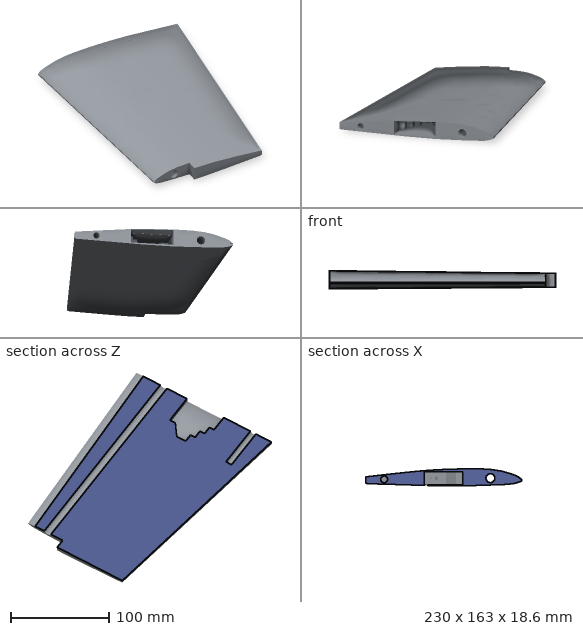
import cadquery as cq

SPAN = 230.0
ROOT_CHORD = 163.0
TIP_NOSE_Y = 10.1
TIP_TAIL_Y = 129.7
CHORD_TAPER = (TIP_TAIL_Y - TIP_NOSE_Y) / ROOT_CHORD
THICKNESS_TAPER = 0.78
TAPER_HEIGHT = 7.0
CLEAR_HEIGHT = 23.0

UPPER_CURVE = [(0, 7.0), (4.0, 10.1), (10.5, 12.9), (19.8, 15.6), (31.0, 17.5), (58.0, 18.5),
               (105.5, 16.0), (136.8, 12.9), (ROOT_CHORD, 10.0)]
LOWER_CURVE = [(ROOT_CHORD, 3.0), (161.2, 2.3), (122.5, 1.2), (71.3, 0), (49.2, 0.2),
               (19.8, 1.4), (4.0, 3.5), (0, 5.0)]

NOTCH_START_X = 219.6
NOTCH_REAR_Y = 50.8

SPAR_HOLE_DIAMETER = 8.5
SPAR_HOLE_CENTER = (33.0, 8.3)
PIN_HOLE_DIAMETER = 6.5
PIN_HOLE_CENTER = (140.8, 7.1)
PIN_HOLE_DEPTH = 46.0

POCKET_FRONT_Y = 61.2
POCKET_REAR_Y = 105.0
POCKET_FLOOR_Z = 1.8
POCKET_CEILING_Z = 14.5
SLOPE_FRONT_Y = 67.6
SLOPE_REAR_Y = 78.2
STEP_YS = (88.5, 94.0, 99.5)
POCKET_FRONT_DEPTH = 32.2
POCKET_DEEP_DEPTH = 46.0
STEP_DEPTH = 9.2

PATCH_DEPTH = 8.0
PATCH_FRONT_Z = 17.7
PATCH_REAR_Z = 15.6
RAMP_END_HEIGHT = 0.12

SLIT_DEPTH = 8.0
SLIT_HEIGHT = 0.2
SLIT_Z = 6.5


def section(x, nose_y=0.0, chord_scale=1.0, thickness_scale=1.0):
    """Closed airfoil wire on the plane at the given span position."""
    def place(points):
        return [cq.Vector(x, nose_y + y * chord_scale,
                          TAPER_HEIGHT + (z - TAPER_HEIGHT) * thickness_scale)
                for y, z in points]

    upper = place(UPPER_CURVE)
    lower = place(LOWER_CURVE)
    edges = [
        cq.Edge.makeSpline(upper),
        cq.Edge.makeLine(upper[-1], lower[0]),
        cq.Edge.makeLine(lower[0], lower[1]),
        cq.Edge.makeSpline(lower[1:]),
        cq.Edge.makeLine(lower[-1], upper[0]),
    ]
    return cq.Wire.assembleEdges(edges)


def box(x_range, y_range, z_range):
    """Box between the given limits."""
    lengths = [r[1] - r[0] for r in (x_range, y_range, z_range)]
    corner = (x_range[0], y_range[0], z_range[0])
    return cq.Workplane("XY").box(*lengths, centered=False).translate(corner)


def root_hole(center, diameter, depth):
    """Spanwise cylinder starting at the root face."""
    return cq.Workplane("YZ").center(*center).circle(diameter / 2).extrude(depth)


def pocket():
    """Flat-floored pocket with a sloping front wall and rear steps."""
    outline = [
        (0, POCKET_FRONT_Y),
        (POCKET_FRONT_DEPTH, POCKET_FRONT_Y),
        (POCKET_FRONT_DEPTH, SLOPE_FRONT_Y),
        (POCKET_DEEP_DEPTH, SLOPE_REAR_Y),
    ]
    depth = POCKET_DEEP_DEPTH
    for y in STEP_YS:
        outline.append((depth, y))
        depth -= STEP_DEPTH
        outline.append((depth, y))
    outline += [(depth, POCKET_REAR_Y), (0, POCKET_REAR_Y)]
    height = POCKET_CEILING_Z - POCKET_FLOOR_Z
    return cq.Workplane("XY", origin=(0, 0, POCKET_FLOOR_Z)).polyline(outline).close().extrude(height)


def ceiling_ramp():
    """Wedge above the pocket mouth, tall at the root face and vanishing inward."""
    def end_wire(x, front_z, rear_z):
        corners = [(POCKET_FRONT_Y, POCKET_CEILING_Z), (POCKET_REAR_Y, POCKET_CEILING_Z),
                   (POCKET_REAR_Y, rear_z), (POCKET_FRONT_Y, front_z)]
        return cq.Wire.makePolygon([cq.Vector(x, y, z) for y, z in corners], close=True)

    inner_z = POCKET_CEILING_Z + RAMP_END_HEIGHT
    mouth = end_wire(0, PATCH_FRONT_Z, PATCH_REAR_Z)
    inner = end_wire(PATCH_DEPTH, inner_z, inner_z)
    return cq.Workplane(obj=cq.Solid.makeLoft([mouth, inner], True))


def roof_patch():
    """Untapered piece of the root section, slightly proud of the tapering skin."""
    profile = cq.Solid.extrudeLinear(section(0), [], cq.Vector(PATCH_DEPTH, 0, 0))
    limits = box((0, PATCH_DEPTH), (POCKET_FRONT_Y, POCKET_REAR_Y), (POCKET_CEILING_Z, CLEAR_HEIGHT))
    return cq.Workplane(obj=profile).intersect(limits)


root = section(0)
tip = section(SPAN, TIP_NOSE_Y, CHORD_TAPER, THICKNESS_TAPER)
wing = cq.Workplane(obj=cq.Solid.makeLoft([root, tip], True))
wing = wing.union(roof_patch())

notch = box((NOTCH_START_X, SPAN), (0, NOTCH_REAR_Y), (0, CLEAR_HEIGHT))
wing = wing.cut(notch)
wing = wing.cut(root_hole(SPAR_HOLE_CENTER, SPAR_HOLE_DIAMETER, SPAN))
wing = wing.cut(root_hole(PIN_HOLE_CENTER, PIN_HOLE_DIAMETER, PIN_HOLE_DEPTH))
wing = wing.cut(pocket())
wing = wing.cut(ceiling_ramp())

slit_outline = [(0, 0), (SPAN, TIP_NOSE_Y), (SPAN, TIP_NOSE_Y + SLIT_DEPTH), (0, SLIT_DEPTH)]
slit = cq.Workplane("XY", origin=(0, 0, SLIT_Z)).polyline(slit_outline).close().extrude(SLIT_HEIGHT)
wing = wing.cut(slit)

result = wing.translate((-SPAN / 2, -ROOT_CHORD / 2, 0))